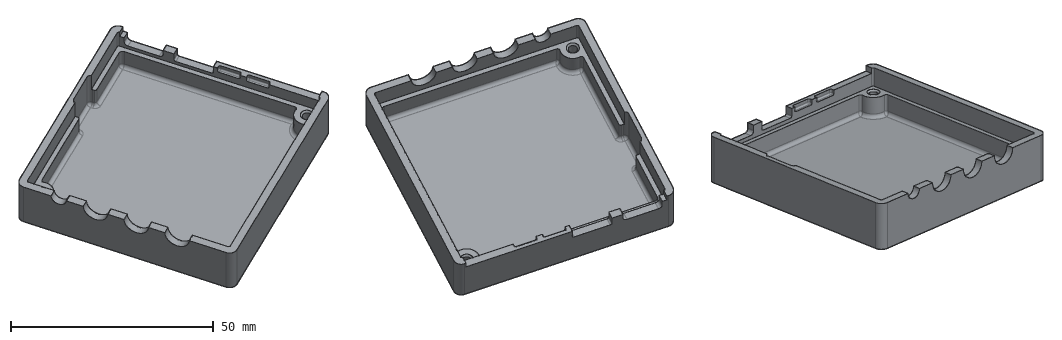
import cadquery as cq
import math

LENGTH = 58.7
WIDTH = 59.5
HEIGHT = 12.5
OUTER_CORNER_RADIUS = 2.0

RIM_WALL = 2.0
LOWER_WALL = 3.3
LEDGE_DEPTH = 5.0
FLOOR = 2.0
FLOOR_FILLET = 1.0
CAVITY_CORNER_RADIUS = 1.0
SMALL_RADIUS = 0.5

BOSS_INSET = 4.6
BOSS_RADIUS = 3.3
BOSS_JOINT_RADIUS = 0.6
SCREW_HOLE_RADIUS = 1.15
COUNTERSINK_RADIUS = 1.6

RECESS_WALL = 1.25
RECESS_MIN_Y = 1.55
RECESS_MAX_Y = 11.55

SMALL_NOTCH_X = -17.9
SMALL_NOTCH_RADIUS = 2.0
NOTCH_RADIUS = 3.3
NOTCH_PITCH = 11.0
MIDDLE_NOTCH_X = 3.05

REAR_STEP_DEPTH = 1.5
REAR_CUT_DEPTH = 4.0
LEFT_CUT_X = (-25.65, -15.2)
LEFT_CUT_RADIUS = 1.0
RIGHT_CUT_X = (-12.2, -1.6)

POCKET_LENGTH = 6.05
POCKET_DEPTH = 1.0
POCKET_FLOOR_DROP = 2.85
POCKET_CENTRES_X = (2.55, 10.35)

LEDGE_Z = HEIGHT - LEDGE_DEPTH
RIM_X = LENGTH / 2 - RIM_WALL
RIM_Y = WIDTH / 2 - RIM_WALL
LOWER_X = LENGTH / 2 - LOWER_WALL
LOWER_Y = WIDTH / 2 - LOWER_WALL
RECESS_X = LENGTH / 2 - RECESS_WALL
BOSS_X = LENGTH / 2 - BOSS_INSET
BOSS_Y = WIDTH / 2 - BOSS_INSET


def block(x_limits, y_limits, z_limits):
    """Box given by its lower and upper limit along each axis."""
    limits = (x_limits, y_limits, z_limits)
    size = [high - low for low, high in limits]
    corner = tuple(low for low, high in limits)
    return cq.Workplane("XY").box(*size, centered=False).translate(corner)


def fillet_upright_edges(body, points, radius):
    """Round the vertical edges of body that stand at the given (x, y) points."""
    reach = 0.05
    for x, y in points:
        near = cq.selectors.BoxSelector((x - reach, y - reach, 0), (x + reach, y + reach, HEIGHT))
        body = body.edges("|Z").edges(near).fillet(radius)
    return body


def outer_box():
    box = cq.Workplane("XY").box(LENGTH, WIDTH, HEIGHT, centered=(True, True, False))
    return box.edges("|Z").fillet(OUTER_CORNER_RADIUS)


def rim_opening():
    opening = block((-RIM_X, RIM_X), (-RIM_Y, RIM_Y), (LEDGE_Z, HEIGHT))
    return opening.edges("|Z").fillet(SMALL_RADIUS)


def boss(side):
    """Round pillar at the +X +Y corner (side 1) or the opposite corner (side -1)."""
    pillar = cq.Workplane("XY").circle(BOSS_RADIUS).extrude(LEDGE_Z)
    return pillar.translate((side * BOSS_X, side * BOSS_Y, 0))


def lower_cavity():
    """Space below the ledge, together with the recess in the left wall."""
    cavity = block((-LOWER_X, LOWER_X), (-LOWER_Y, LOWER_Y), (FLOOR, LEDGE_Z))
    joints = []
    joint_offset = math.sqrt(BOSS_RADIUS**2 - (BOSS_INSET - LOWER_WALL) ** 2)
    for side in (1, -1):
        cavity = cavity.cut(boss(side))
        joints.append((side * (BOSS_X - joint_offset), side * LOWER_Y))
        joints.append((side * LOWER_X, side * (BOSS_Y - joint_offset)))
    cavity = cavity.union(block((-RECESS_X, 0), (RECESS_MIN_Y, RECESS_MAX_Y), (FLOOR, LEDGE_Z)))

    recess_ends = (RECESS_MIN_Y, RECESS_MAX_Y)
    corners = [(-LOWER_X, LOWER_Y), (LOWER_X, -LOWER_Y)]
    corners += [(-RECESS_X, y) for y in recess_ends]
    cavity = fillet_upright_edges(cavity, corners, CAVITY_CORNER_RADIUS)
    cavity = fillet_upright_edges(cavity, [(-LOWER_X, y) for y in recess_ends], SMALL_RADIUS)
    cavity = fillet_upright_edges(cavity, joints, BOSS_JOINT_RADIUS)
    return cavity.faces("<Z").edges().fillet(FLOOR_FILLET)


def recess_through_rim():
    opening = block((-RECESS_X, 0), (RECESS_MIN_Y, RECESS_MAX_Y), (LEDGE_Z, HEIGHT))
    return opening.edges("|Z and <X").fillet(CAVITY_CORNER_RADIUS)


def screw_hole(side):
    """Through hole with a 45-degree countersink at the ledge."""
    sink_depth = COUNTERSINK_RADIUS - SCREW_HOLE_RADIUS
    profile = [
        (0, 0),
        (SCREW_HOLE_RADIUS, 0),
        (SCREW_HOLE_RADIUS, LEDGE_Z - sink_depth),
        (COUNTERSINK_RADIUS, LEDGE_Z),
        (0, LEDGE_Z),
    ]
    hole = cq.Workplane("XZ").polyline(profile).close().revolve(360, (0, 0), (0, 1))
    return hole.translate((side * BOSS_X, side * BOSS_Y, 0))


def cable_notch(x, radius):
    return cq.Workplane("XZ", origin=(x, -RIM_Y, HEIGHT)).circle(radius).extrude(RIM_WALL)


def rear_cut(x_limits, depth, radius=0):
    """Slot across the rear wall, open to the top; radius rounds its bottom corners."""
    cut = block(x_limits, (RIM_Y, WIDTH / 2), (HEIGHT - depth, HEIGHT))
    return cut.edges("|Y and <Z").fillet(radius) if radius else cut


def rear_pocket(x):
    half = POCKET_LENGTH / 2
    pocket = block(
        (x - half, x + half),
        (RIM_Y, RIM_Y + POCKET_DEPTH),
        (HEIGHT - POCKET_FLOOR_DROP, HEIGHT),
    )
    return pocket.edges("<Z or >Y").edges("not <Y").edges("not >Z").fillet(SMALL_RADIUS)


interior = rim_opening().union(recess_through_rim()).union(lower_cavity())
result = outer_box().cut(interior)
for side in (1, -1):
    result = result.cut(screw_hole(side))

result = result.cut(cable_notch(SMALL_NOTCH_X, SMALL_NOTCH_RADIUS))
for step in (-1, 0, 1):
    result = result.cut(cable_notch(MIDDLE_NOTCH_X + step * NOTCH_PITCH, NOTCH_RADIUS))

step_end = RIM_X - SMALL_RADIUS
result = result.cut(rear_cut((-step_end, step_end), REAR_STEP_DEPTH))
result = result.cut(rear_cut(LEFT_CUT_X, REAR_CUT_DEPTH, LEFT_CUT_RADIUS))
result = result.cut(rear_cut(RIGHT_CUT_X, REAR_CUT_DEPTH, SMALL_RADIUS))
for pocket_x in POCKET_CENTRES_X:
    result = result.cut(rear_pocket(pocket_x))